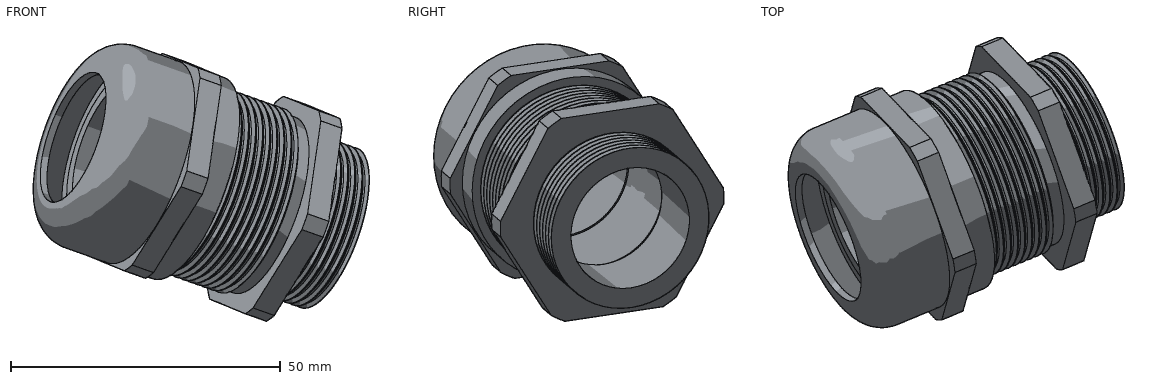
import cadquery as cq
import math


YAW = 22.6
PITCH = 18.15
HEX_ROLL = 8.4
ORIGIN_STATION = 27.75

HEX_FLATS = 40.05
HEX_CORNER_DIA = 44.55

CAP_DIA = 39.68
CAP_FACE_DIA = 28.0
CAP_MOUTH_DIA = 25.38
CAP_LIP = 1.4
CAP_HEX_START = 14.85
CAP_HEX_WIDTH = 4.5
CAP_LENGTH = 24.35

SEAL_BORE_DIA = 25.29
SEAL_DIA = 29.87
CLAMP_DIA = 33.6
SEAL_START = 6.8

THREAD_PITCH = 1.5
CREST_FLAT = THREAD_PITCH / 8
ROOT_FLAT = THREAD_PITCH / 4
CAP_THREAD_DIA = 36.2
CAP_THREAD_ROOT_DIA = 34.73
CAP_THREAD_TURNS = 11
END_THREAD_DIA = 31.42
END_THREAD_ROOT_DIA = 30.06
END_THREAD_TURNS = 6

BODY_START = 20.5
BODY_HEX_START = 40.4
BODY_HEX_WIDTH = 4.5
BODY_END = 54.05
BAND_DIA = 34.6
THREAD_RUNOUT = 0.4
CAP_THREAD_END = 37.75
BODY_MOUTH_DIA = 25.84
BODY_MOUTH_DEPTH = 2.6
BODY_BORE_DIA = 27.2
BODY_BORE_START = 28.3
LEDGE_START = 38.2
LEDGE_DIA = 25.14
OUTLET_DIA = 23.6
OUTLET_START = 40.0


def tube(start, length, outer_dia, inner_dia):
    return (
        cq.Workplane("XY", origin=(0, 0, start))
        .circle(outer_dia / 2)
        .circle(inner_dia / 2)
        .extrude(length)
    )


def hex_collar(start, width, inner_dia):
    """Hexagonal collar with rounded corners and a round hole."""
    across_corners = HEX_FLATS / math.cos(math.pi / 6)
    prism = (
        cq.Workplane("XY", origin=(0, 0, start))
        .polygon(6, across_corners)
        .extrude(width)
        .rotate((0, 0, 0), (0, 0, 1), HEX_ROLL)
    )
    return prism.intersect(tube(start, width, HEX_CORNER_DIA, inner_dia))


def thread_outline(start, turns, crest_dia, root_dia):
    """Outline points of flat-bottomed V grooves, one per turn, beginning and ending on a crest."""
    points = []
    for turn in range(turns):
        turn_start = start + turn * THREAD_PITCH
        groove_middle = turn_start + THREAD_PITCH / 2
        points.append((crest_dia / 2, turn_start + CREST_FLAT / 2))
        points.append((root_dia / 2, groove_middle - ROOT_FLAT / 2))
        points.append((root_dia / 2, groove_middle + ROOT_FLAT / 2))
        points.append((crest_dia / 2, turn_start + THREAD_PITCH - CREST_FLAT / 2))
    return points


def make_cap():
    """Cap nut with a rounded nose, a flared mouth and a hexagonal collar."""
    nose_radius = (CAP_DIA - CAP_FACE_DIA) / 2
    nose_middle = nose_radius * (1 - math.sqrt(0.5))
    shell = (
        cq.Workplane("XZ")
        .moveTo(CAP_MOUTH_DIA / 2, 0)
        .lineTo(CAP_FACE_DIA / 2, 0)
        .threePointArc((CAP_DIA / 2 - nose_middle, nose_middle), (CAP_DIA / 2, nose_radius))
        .lineTo(CAP_DIA / 2, CAP_LENGTH)
        .lineTo(CAP_THREAD_DIA / 2, CAP_LENGTH)
        .lineTo(CAP_THREAD_DIA / 2, SEAL_START)
        .lineTo(CLAMP_DIA / 2, SEAL_START)
        .lineTo(CAP_MOUTH_DIA / 2, CAP_LIP)
        .close()
        .revolve(360, (0, 0), (0, 1))
    )
    return shell.union(hex_collar(CAP_HEX_START, CAP_HEX_WIDTH, CAP_THREAD_DIA))


def make_body():
    """Body with a thread on each side of its hexagonal collar and a stepped bore."""
    hex_end = BODY_HEX_START + BODY_HEX_WIDTH
    cap_thread_start = CAP_THREAD_END - CAP_THREAD_TURNS * THREAD_PITCH
    end_thread_start = BODY_END - END_THREAD_TURNS * THREAD_PITCH
    outline = [(CAP_THREAD_DIA / 2, BODY_START)]
    for point in thread_outline(cap_thread_start, CAP_THREAD_TURNS, CAP_THREAD_DIA, CAP_THREAD_ROOT_DIA):
        if point[1] > BODY_START + THREAD_PITCH:
            outline.append(point)
    outline += [
        (BAND_DIA / 2, CAP_THREAD_END + THREAD_RUNOUT),
        (BAND_DIA / 2, hex_end),
        (END_THREAD_DIA / 2, hex_end),
    ]
    outline += thread_outline(end_thread_start, END_THREAD_TURNS, END_THREAD_DIA, END_THREAD_ROOT_DIA)
    outline += [
        (END_THREAD_DIA / 2, BODY_END),
        (OUTLET_DIA / 2, BODY_END),
        (OUTLET_DIA / 2, OUTLET_START),
        (LEDGE_DIA / 2, LEDGE_START),
        (BODY_BORE_DIA / 2, LEDGE_START),
        (BODY_BORE_DIA / 2, BODY_BORE_START),
        (BODY_MOUTH_DIA / 2, BODY_START + BODY_MOUTH_DEPTH),
        (BODY_MOUTH_DIA / 2, BODY_START),
    ]
    turned = cq.Workplane("XZ").polyline(outline).close().revolve(360, (0, 0), (0, 1))
    return turned.union(hex_collar(BODY_HEX_START, BODY_HEX_WIDTH, BODY_BORE_DIA))


def gland_location():
    """Moves the local Z axis onto the tilted gland axis."""
    yaw = math.radians(YAW)
    pitch = math.radians(PITCH)
    axis = cq.Vector(
        math.cos(pitch) * math.cos(yaw),
        math.cos(pitch) * math.sin(yaw),
        -math.sin(pitch),
    )
    horizontal = cq.Vector(math.sin(yaw), -math.cos(yaw), 0)
    return cq.Location(cq.Plane(origin=axis * -ORIGIN_STATION, xDir=horizontal, normal=axis))


place = gland_location()
sleeve_length = BODY_START - SEAL_START
cap = make_cap()
clamp = tube(SEAL_START, sleeve_length, CLAMP_DIA, SEAL_DIA)
seal = tube(SEAL_START, sleeve_length, SEAL_DIA, SEAL_BORE_DIA)
body = make_body()

result = cq.Compound.makeCompound([part.val().moved(place) for part in (cap, clamp, seal, body)])